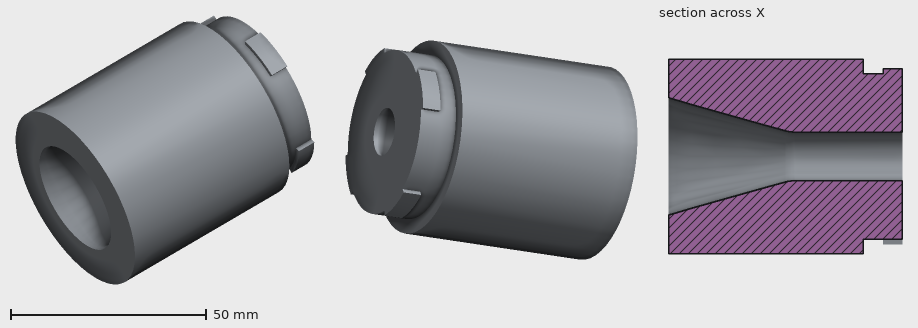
import cadquery as cq
import math

full_turn = 360.0

body_radius = 25.0
body_length = 50.0

neck_radius = 21.25
neck_length = 10.0
total_length = body_length + neck_length

lug_radius = 22.5
lug_length = neck_length / 2
lug_angle = 30.0
lug_count = 4

mouth_radius = 15.0
throat_radius = 6.5
mouth_length = 30.0
hole_radius = 6.18

mouth_half_angle = math.atan((mouth_radius - throat_radius) / mouth_length)
blend_length = (throat_radius - hole_radius) / math.tan(mouth_half_angle / 2)
hole_start = mouth_length + blend_length


def revolve_about_y(profile, angle=full_turn):
    """Revolve an XY profile (X = radius) about the Y axis."""
    return profile.close().revolve(angle, (0, 0, 0), (0, 1, 0))


def make_stepped_cylinder():
    profile = (
        cq.Workplane("XY")
        .lineTo(body_radius, 0)
        .lineTo(body_radius, body_length)
        .lineTo(neck_radius, body_length)
        .lineTo(neck_radius, total_length)
        .lineTo(0, total_length)
    )
    return revolve_about_y(profile)


def make_lug(start_angle):
    """Sector of a disc that overlaps the neck; its first lug starts at +X and sweeps toward -Z."""
    profile = (
        cq.Workplane("XY")
        .moveTo(0, total_length - lug_length)
        .lineTo(lug_radius, total_length - lug_length)
        .lineTo(lug_radius, total_length)
        .lineTo(0, total_length)
    )
    sector = revolve_about_y(profile, lug_angle)
    return sector.rotate((0, 0, 0), (0, 1, 0), start_angle)


def make_bore():
    profile = (
        cq.Workplane("XY")
        .lineTo(mouth_radius, 0)
        .lineTo(throat_radius, mouth_length)
        .tangentArcPoint((hole_radius, hole_start), relative=False)
        .lineTo(hole_radius, total_length)
        .lineTo(0, total_length)
    )
    return revolve_about_y(profile)


result = make_stepped_cylinder()
for index in range(lug_count):
    result = result.union(make_lug(index * full_turn / lug_count))
result = result.cut(make_bore())